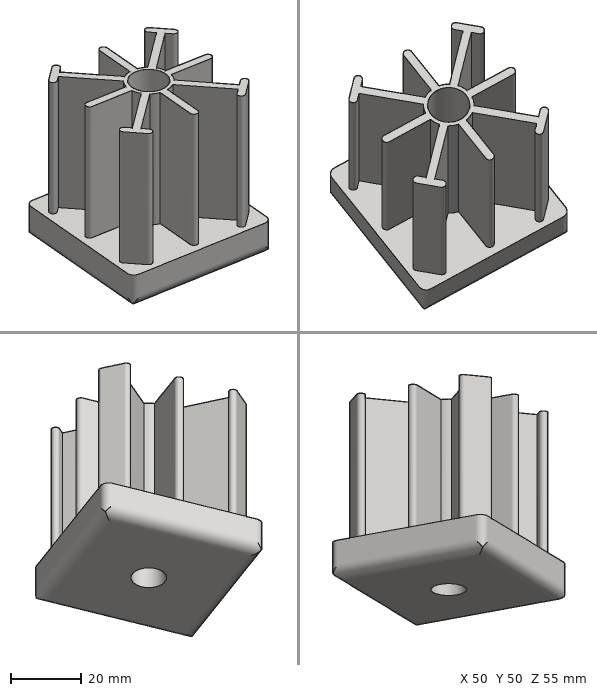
import cadquery as cq

height = 55.0
base_side = 50.0
base_height = 11.0
corner_radius = 2.5
bottom_radius = 3.4

tube_diameter = 14.4
bore_diameter = 12.0
hole_diameter = 10.1

rib_width = 2.65
rib_span = 45.0

diagonal_rib_width = 2.5
crossbar_width = 2.5
crossbar_length = 9.55
crossbar_distance = 27.05

core_height = height - base_height


def rounded_along(axis):
    """Square block with its two lower edges parallel to one axis rounded."""
    block = cq.Workplane("XY").box(base_side, base_side, base_height, centered=(True, True, False))
    return block.edges(f"|{axis} and <Z").fillet(bottom_radius)


def make_base():
    """Base plate whose bottom rounds meet in mitres, trimmed by rounded vertical corners."""
    column = cq.Workplane("XY").box(base_side, base_side, base_height, centered=(True, True, False))
    column = column.edges("|Z").fillet(corner_radius)
    return rounded_along("X").intersect(rounded_along("Y")).intersect(column)


def core_plane():
    return cq.Workplane("XY").workplane(offset=base_height)


def make_straight_rib(angle):
    """Round-ended rib running right across the tube."""
    return core_plane().slot2D(rib_span, rib_width, angle).extrude(core_height)


def make_diagonal_rib(angle):
    """Rib from the tube axis out to a round-ended crossbar."""
    web = (
        core_plane()
        .center(crossbar_distance / 2, 0)
        .rect(crossbar_distance, diagonal_rib_width)
        .extrude(core_height)
    )
    crossbar = (
        core_plane()
        .center(crossbar_distance, 0)
        .slot2D(crossbar_length, crossbar_width, 90)
        .extrude(core_height)
    )
    return web.union(crossbar).rotate((0, 0, 0), (0, 0, 1), angle)


def make_bore():
    """Through bore, wide inside the tube and coned down to the hole in the base."""
    bore_radius = bore_diameter / 2
    hole_radius = hole_diameter / 2
    cone_bottom = base_height - (bore_radius - hole_radius)
    half_section = (
        cq.Workplane("XZ")
        .lineTo(hole_radius, 0)
        .lineTo(hole_radius, cone_bottom)
        .lineTo(bore_radius, base_height)
        .lineTo(bore_radius, height)
        .lineTo(0, height)
        .close()
    )
    return half_section.revolve(360, (0, 0, 0), (0, 1, 0))


result = make_base()
result = result.union(core_plane().circle(tube_diameter / 2).extrude(core_height))
for angle in (0, 90):
    result = result.union(make_straight_rib(angle))
for angle in (45, 135, 225, 315):
    result = result.union(make_diagonal_rib(angle))
result = result.cut(make_bore())